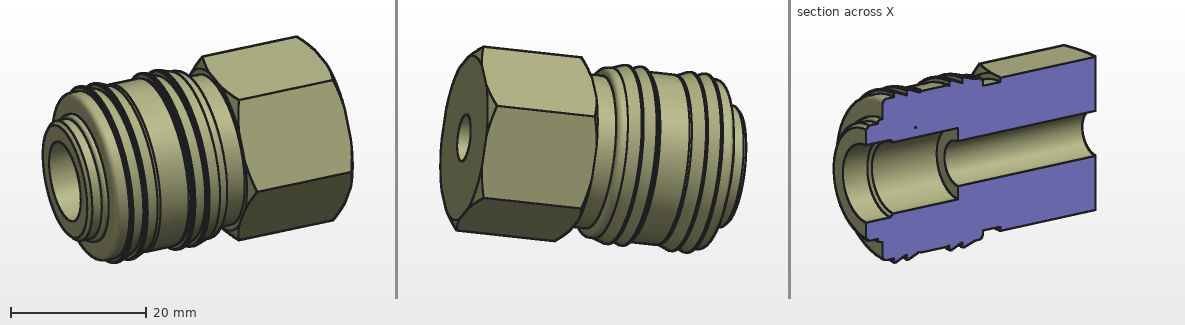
import cadquery as cq
import math

length = 41.0
collar_front = 2.1
sleeve_front = 2.95
sleeve_back = 20.95
hex_front = 24.03

nose_radius = 9.05
collar_radius = 9.65
sleeve_radius = 12.65
neck_radius = 11.35
nose_chamfer = 0.57
collar_fillet = collar_radius - nose_radius
sleeve_fillet = 0.8

ridge_radius = 13.32
ridge_root_radius = 12.5
ridge_edge_chamfer = 0.15
ridge_land = 0.2
ridge_fronts = (5.0, 7.3, 14.92, 17.2)
ridge_pitch = ridge_fronts[1] - ridge_fronts[0]
band_front = ridge_fronts[1] + ridge_pitch
band_back = ridge_fronts[2]
band_chamfer_length = 0.4

across_corners = 27.7
hex_end_radius = 12.2
hex_chamfer_angle = math.radians(30)

bore_mouth_radius = 6.03
bore_seat_radius = 5.55
bore_taper_start = 4.35
bore_taper_length = bore_mouth_radius - bore_seat_radius
bore_depth = 16.4
passage_radius = 3.5


def revolve_profile(sketch):
    """Close a (radius, Y) half profile and revolve it about the Y axis."""
    return sketch.close().revolve(360, (0, 0, 0), (0, 1, 0))


def cylinder(radius, start, end):
    """Solid cylinder on the Y axis between two stations."""
    return revolve_profile(
        cq.Workplane("XY").moveTo(0, start).lineTo(radius, start).lineTo(radius, end).lineTo(0, end)
    )


def make_nose():
    nose = cylinder(nose_radius, 0, sleeve_front).faces("<Y").chamfer(nose_chamfer)
    collar = cylinder(collar_radius, collar_front, sleeve_front).faces("<Y").edges().fillet(collar_fillet)
    return nose.union(collar)


def add_ridge(profile, front, back, back_radius):
    """Extend the sleeve outline over one ridge, from its steep front to its tapered back."""
    return (
        profile.lineTo(ridge_radius - ridge_edge_chamfer, front)
        .lineTo(ridge_radius, front + ridge_edge_chamfer)
        .lineTo(ridge_radius, front + ridge_edge_chamfer + ridge_land)
        .lineTo(back_radius, back)
    )


def make_sleeve():
    first, second, third, fourth = ridge_fronts
    profile = cq.Workplane("XY").moveTo(0, sleeve_front).lineTo(sleeve_radius, sleeve_front)
    profile = profile.lineTo(sleeve_radius, first)
    profile = add_ridge(profile, first, second, ridge_root_radius)
    profile = add_ridge(profile, second, band_front, ridge_root_radius)
    profile = profile.lineTo(sleeve_radius, band_front + band_chamfer_length)
    profile = profile.lineTo(sleeve_radius, band_back - band_chamfer_length)
    profile = profile.lineTo(ridge_root_radius, band_back)
    profile = add_ridge(profile, third, fourth, ridge_root_radius)
    profile = add_ridge(profile, fourth, fourth + ridge_pitch, sleeve_radius)
    profile = profile.lineTo(sleeve_radius, sleeve_back).lineTo(0, sleeve_back)
    sleeve = revolve_profile(profile)
    return sleeve.faces("<Y or >Y").edges().fillet(sleeve_fillet)


def make_hex():
    hex_length = length - hex_front
    prism = (
        cq.Workplane("XZ", origin=(0, length, 0))
        .polygon(6, across_corners)
        .extrude(hex_length)
    )
    corner_radius = across_corners / 2
    chamfer_length = (corner_radius - hex_end_radius) * math.tan(hex_chamfer_angle)
    clearance = 0.4
    clear_radius = corner_radius + clearance
    cone_length = chamfer_length + clearance * math.tan(hex_chamfer_angle)
    envelope = revolve_profile(
        cq.Workplane("XY")
        .moveTo(0, hex_front)
        .lineTo(hex_end_radius, hex_front)
        .lineTo(clear_radius, hex_front + cone_length)
        .lineTo(clear_radius, length - cone_length)
        .lineTo(hex_end_radius, length)
        .lineTo(0, length)
    )
    return prism.intersect(envelope)


def make_bore():
    mouth = revolve_profile(
        cq.Workplane("XY")
        .lineTo(bore_mouth_radius, 0)
        .lineTo(bore_mouth_radius, bore_taper_start)
        .lineTo(bore_seat_radius, bore_taper_start + bore_taper_length)
        .lineTo(bore_seat_radius, bore_depth)
        .lineTo(0, bore_depth)
    )
    return mouth.union(cylinder(passage_radius, 0, length))


neck = cylinder(neck_radius, sleeve_back, hex_front)
body = make_nose().union(make_sleeve()).union(neck).union(make_hex())
result = body.cut(make_bore())